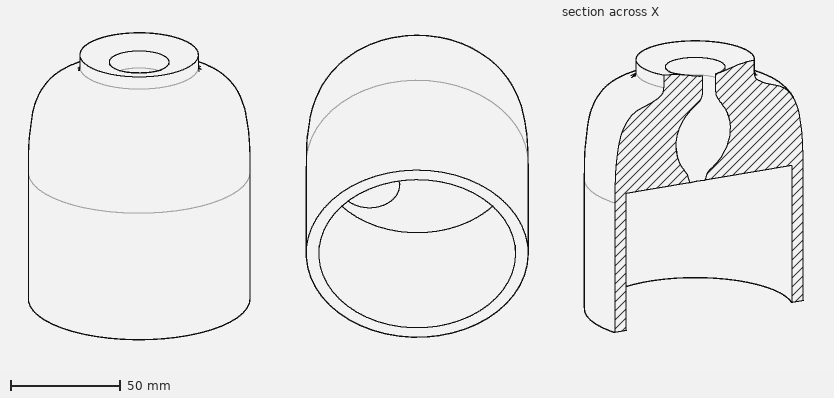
import cadquery as cq

height = 120.2
body_radius = 101.7 / 2
shoulder_start = 62.5
neck_radius = 27.2
neck_base = 114.2
shoulder_points = [
    (49.8, 85.3),
    (46.4, 98.0),
    (40.9, 104.6),
    (33.9, 107.5),
    (28.5, 110.4),
    (neck_radius, neck_base),
]

throat_radius = 13.7
mouth_depth = 3.6
throat_z = height - mouth_depth
mouth_bulge_radius = 18.6
mouth_bulge_z = height - 1.5

chamber_radius = 90.0 / 2
chamber_depth = 66.1

bend_start = 108.2
passage_shift_x = 26.5
passage_shift_y = -6.0


def make_body():
    """Revolve a straight side, curved shoulder and neck with a funnel mouth."""
    profile = (
        cq.Workplane("XZ")
        .lineTo(body_radius, 0)
        .lineTo(body_radius, shoulder_start)
        .spline(shoulder_points, tangents=[(0, 1), (0, 1)], includeCurrent=True)
        .lineTo(neck_radius, height)
        .threePointArc((mouth_bulge_radius, mouth_bulge_z), (throat_radius, throat_z))
        .lineTo(0, throat_z)
        .close()
    )
    return profile.revolve(360, (0, 0, 0), (0, 1, 0))


def make_passage():
    """Sweep a round bore that bends sideways and then down into the chamber."""
    start = cq.Vector(0, 0, bend_start)
    end = cq.Vector(passage_shift_x, passage_shift_y, chamber_depth)
    down = cq.Vector(0, 0, -1)
    bend = cq.Edge.makeSpline([start, end], tangents=[down, down])
    bore = cq.Workplane("XY", origin=start.toTuple()).circle(throat_radius).sweep(cq.Workplane(bend))
    entry = cq.Workplane("XY", origin=start.toTuple()).circle(throat_radius).extrude(height - bend_start)
    return bore.union(entry)


chamber = cq.Workplane("XY").circle(chamber_radius).extrude(chamber_depth)
result = make_body().cut(chamber).cut(make_passage())